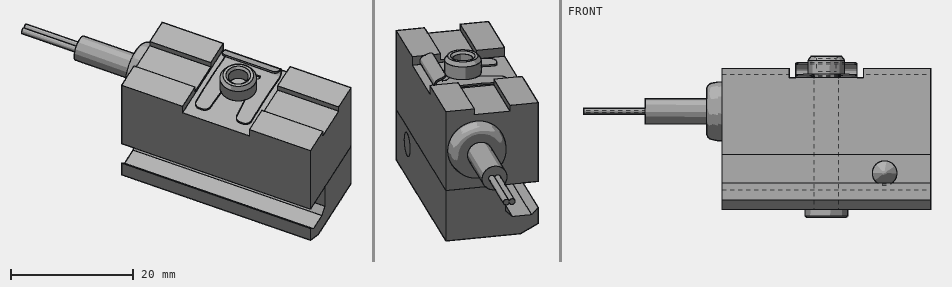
import cadquery as cq
import math


overall_length = 56.5

length = 34.0
depth = 15.5
jaw_height = 9.0
housing_height = 14.0
housing_top = jaw_height + housing_height
centre_x = length / 2

cross_slot_width = 12.05
cross_slot_depth = 1.5
groove_width = 6.0
groove_depth = 1.0
slot_floor = housing_top - cross_slot_depth

jaw_wall_y = depth - 10.0
channel_floor = 3.2
channel_chamfer = 1.15
toe_chamfer_y = 3.0
toe_chamfer_z = 1.5

screw_y = depth - 7.0
shaft_diameter = 4.0
head_diameter = 6.0
head_chamfer_width = 0.5
head_chamfer_height = 0.7
head_top = housing_top + 2.0
socket_diameter = 3.2
socket_chamfer = 0.4
socket_depth = 2.5
foot_diameter = 7.0
foot_height = 1.3
foot_chamfer = 0.3

point_x = 26.5
point_z = 5.95
point_diameter = 4.0
point_length = point_diameter / 2

cable_y = depth - 5.1
cable_z = housing_top - 7.0
grommet_length = 2.5
grommet_radius = 4.8
grommet_face_radius = 3.45
grommet_shoulder_radius = 4.65
grommet_shoulder = 1.0
grommet_crown = 1.85
cable_diameter = 4.2
cable_length = 10.0
wire_diameter = 1.0
wire_pitch = 0.95
wire_length = overall_length - length - grommet_length - cable_length

spring_width = 10.0
spring_thickness = 0.3
spring_bow = 0.3
spring_front = 1.9
bend_radius = 1.0
bend_y = depth - 2.05
tab_angle = math.radians(22)
tab_length = 1.45
tab_corner = 0.8
leg_tip_round = 1.1
fork_width = 4.25
fork_mouth_width = 4.85
fork_taper_end = screw_y - 2.05
neck_width = 2.7
window_front = screw_y + 3.3
window_back = depth - 3.05
crest_top = slot_floor + spring_bow + spring_thickness


def upright_cylinder(diameter, bottom, top):
    """Cylinder on the clamp screw's axis."""
    return (
        cq.Workplane("XY", origin=(centre_x, screw_y, bottom))
        .circle(diameter / 2)
        .extrude(top - bottom)
    )


def make_housing():
    block = cq.Workplane("XY", origin=(0, 0, jaw_height)).box(
        length, depth, housing_height, centered=False
    )
    cross_slot = cq.Workplane("XY", origin=(centre_x, depth / 2, slot_floor)).box(
        cross_slot_width, depth, cross_slot_depth, centered=(True, True, False)
    )
    groove = cq.Workplane("XY", origin=(centre_x, depth / 2, housing_top - groove_depth)).box(
        length, groove_width, groove_depth, centered=(True, True, False)
    )
    screw_hole = upright_cylinder(shaft_diameter, jaw_height, housing_top)
    return block.cut(cross_slot).cut(groove).cut(screw_hole)


def make_set_screw():
    """Cylinder flush with the back face, ending in a 90 degree point in the channel."""
    profile = [
        (0, depth),
        (point_diameter / 2, depth),
        (point_diameter / 2, jaw_wall_y),
        (0, jaw_wall_y - point_length),
    ]
    return (
        cq.Workplane("XY")
        .polyline(profile)
        .close()
        .revolve(360, (0, 0, 0), (0, 1, 0))
        .translate((point_x, 0, point_z))
    )


def make_jaw(set_screw):
    outline = [
        (depth, 0),
        (depth, jaw_height),
        (jaw_wall_y, jaw_height),
        (jaw_wall_y, channel_floor + channel_chamfer),
        (jaw_wall_y - channel_chamfer, channel_floor),
        (channel_chamfer, channel_floor),
        (0, channel_floor + channel_chamfer),
        (0, toe_chamfer_z),
        (toe_chamfer_y, 0),
    ]
    block = cq.Workplane("YZ").polyline(outline).close().extrude(length)
    screw_hole = upright_cylinder(shaft_diameter, 0, jaw_height)
    return block.cut(screw_hole).cut(set_screw)


def make_clamp_screw():
    head = (
        upright_cylinder(head_diameter, crest_top, head_top)
        .faces(">Z")
        .chamfer(head_chamfer_height, head_chamfer_width)
    )
    shaft = upright_cylinder(shaft_diameter, 0, crest_top)
    foot = upright_cylinder(foot_diameter, -foot_height, 0).faces("<Z").edges().chamfer(foot_chamfer)
    socket = upright_cylinder(socket_diameter, head_top - socket_depth, head_top)
    countersink = (
        cq.Workplane("XY", origin=(centre_x, screw_y, head_top))
        .circle(socket_diameter / 2 + socket_chamfer)
        .workplane(offset=-socket_chamfer)
        .circle(socket_diameter / 2)
        .loft()
    )
    return foot.union(shaft).union(head).cut(socket).cut(countersink)


def make_cable():
    """Grommet, sheath and two wires, running from the housing's end face towards -X."""
    axis = (0, cable_y, cable_z)
    face_x = -grommet_length
    grommet = (
        cq.Workplane("XY")
        .moveTo(0, 0)
        .lineTo(face_x, 0)
        .lineTo(face_x, grommet_face_radius)
        .threePointArc(
            (
                face_x + grommet_shoulder * (1 - math.sqrt(0.5)),
                grommet_face_radius + (grommet_shoulder_radius - grommet_face_radius) * math.sqrt(0.5),
            ),
            (face_x + grommet_shoulder, grommet_shoulder_radius),
        )
        .lineTo(face_x + grommet_crown, grommet_radius)
        .lineTo(0, grommet_radius)
        .close()
        .revolve(360, (0, 0, 0), (1, 0, 0))
        .translate(axis)
    )
    sheath = (
        cq.Workplane("YZ", origin=(face_x, cable_y, cable_z))
        .circle(cable_diameter / 2)
        .extrude(-cable_length)
    )
    cable = grommet.union(sheath)
    for side in (-1, 1):
        wire = (
            cq.Workplane("YZ", origin=(face_x - cable_length, cable_y + side * wire_pitch / 2, cable_z))
            .circle(wire_diameter / 2)
            .extrude(-wire_length)
        )
        cable = cable.union(wire)
    return cable


def bend_point(radius, angle):
    """Point on the spring's rear bend; angle 0 points to the back and grows upwards."""
    return (
        bend_y + radius * math.cos(angle),
        bend_radius + radius * math.sin(angle),
    )


def spring_strip():
    """Bowed strip whose rear end curls up and over into a tab leaning forwards."""
    inner_radius = bend_radius - spring_thickness
    bend_end = math.pi / 2 - tab_angle
    bow_y = (spring_front + bend_y) / 2
    outer_end = bend_point(bend_radius, bend_end)
    inner_end = bend_point(inner_radius, bend_end)
    tab_step = (-tab_length * math.cos(tab_angle), tab_length * math.sin(tab_angle))
    return (
        cq.Workplane("YZ", origin=(centre_x, 0, slot_floor))
        .moveTo(spring_front, 0)
        .threePointArc((bow_y, spring_bow), (bend_y, 0))
        .threePointArc(bend_point(bend_radius, 0), outer_end)
        .line(*tab_step)
        .lineTo(inner_end[0] + tab_step[0], inner_end[1] + tab_step[1])
        .lineTo(*inner_end)
        .threePointArc(bend_point(inner_radius, 0), (bend_y, spring_thickness))
        .threePointArc((bow_y, spring_bow + spring_thickness), (spring_front, spring_thickness))
        .close()
        .extrude(spring_width / 2, both=True)
    )


def spring_opening():
    """Forked slot around the screw shaft, joined by a neck to a window at the back."""
    neck_chamfer = (fork_width - neck_width) / 2
    half_outline = [
        (fork_mouth_width / 2, spring_front),
        (fork_width / 2, fork_taper_end),
        (fork_width / 2, screw_y),
        (neck_width / 2, screw_y + math.sqrt(fork_width**2 - neck_width**2) / 2),
        (neck_width / 2, window_front - neck_chamfer),
        (fork_width / 2, window_front),
        (fork_width / 2, window_back),
    ]
    left = [(-x, y) for x, y in reversed(half_outline)]
    return (
        cq.Workplane("XY", origin=(centre_x, 0, slot_floor))
        .moveTo(*half_outline[0])
        .lineTo(*half_outline[1])
        .lineTo(*half_outline[2])
        .radiusArc(half_outline[3], -fork_width / 2)
        .polyline(half_outline[3:] + left[:4], includeCurrent=False)
        .radiusArc(left[4], -fork_width / 2)
        .lineTo(*left[5])
        .lineTo(*left[6])
        .close()
        .extrude(spring_bow + spring_thickness)
    )


def make_spring():
    tab_tip_y = bend_point(bend_radius, math.pi / 2 - tab_angle)[0] - tab_length * math.cos(tab_angle)
    tab_corners = cq.selectors.BoxSelector(
        (0, tab_tip_y - spring_thickness, crest_top + spring_thickness),
        (length, tab_tip_y + spring_thickness, head_top),
    )
    return (
        spring_strip()
        .edges(tab_corners)
        .edges("not |X")
        .fillet(tab_corner)
        .cut(spring_opening())
        .faces("<Y")
        .edges("|Z")
        .fillet(leg_tip_round)
    )


housing = make_housing()
set_screw = make_set_screw()
jaw = make_jaw(set_screw)
clamp_screw = make_clamp_screw()
cable = make_cable()
spring = make_spring()

result = cq.Compound.makeCompound(
    [housing.val(), jaw.val(), clamp_screw.val(), set_screw.val(), cable.val(), spring.val()]
)